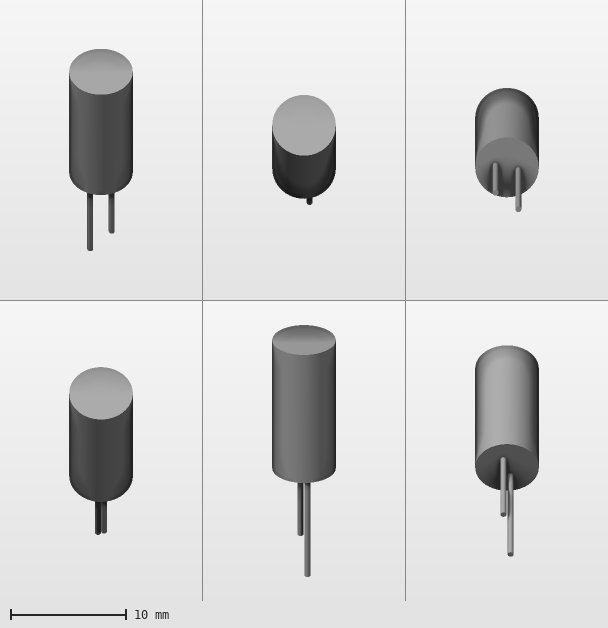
import cadquery as cq

total_height = 22.5

can_diameter = 5.5
long_lead_length = 10.0
can_height = total_height - long_lead_length

lead_diameter = 0.52
lead_pitch = 2.0
short_lead_length = 7.0


def make_can():
    """Solid cylinder standing on the XY plane."""
    return cq.Workplane("XY").circle(can_diameter / 2).extrude(can_height)


def make_lead(x, length):
    """Straight round wire hanging down from the underside of the can."""
    return cq.Workplane("XY").center(x, 0).circle(lead_diameter / 2).extrude(-length)


can = make_can()

lead_layout = [
    (-lead_pitch / 2, long_lead_length),
    (lead_pitch / 2, short_lead_length),
]
leads = [make_lead(x, length) for x, length in lead_layout]

result = cq.Compound.makeCompound([can.val(), *[lead.val() for lead in leads]])